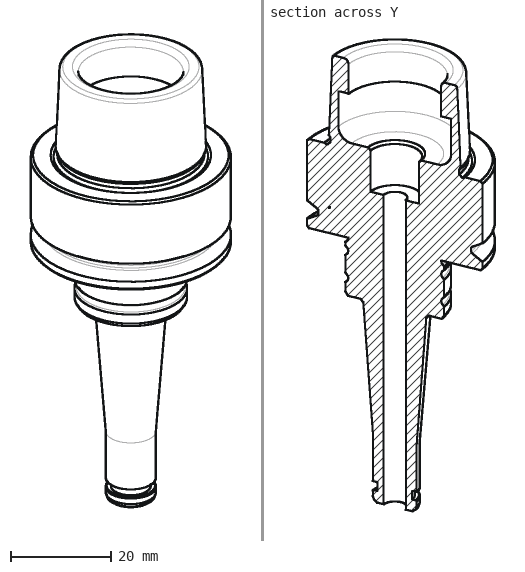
import cadquery as cq


pin_radius = 10.0 / 2
tip_face_radius = 8.0 / 2
tip_chamfer_radius = 4.8
tip_chamfer_top = 0.6
tip_head_start = 1.3
tip_groove_radius = 8.0 / 2
tip_groove_bottom = 2.7
tip_groove_top = 4.6
tip_head_bevel = 0.2
pin_top = 15.1

neck_top_radius = 7.2
neck_top = 44.0
neck_flare = 0.6

collar_radius = 22.5 / 2
collar_bottom = neck_top + neck_flare
collar_chamfer_width = 0.6
collar_chamfer_height = 0.9

total_length = 97.5
flange_radius = 40.0 / 2
flange_height = 20.0
flange_top = total_length - flange_height
flange_bottom = flange_top - flange_height
flange_chamfer = 0.5
grip_radius = 34.8 / 2
grip_center = 61.6
grip_floor_height = 1.2
grip_mouth_height = 4.1
grip_corner_fillet = 0.5

groove_centers = (48.6, 54.6, flange_bottom)
groove_floor_radius = 10.6
groove_shoulder_radius = 10.9
groove_arc_half = 0.7
groove_half = 1.1

relief_outer_radius = 16.0
relief_floor_radius = 15.4
relief_depth = 0.3
relief_slope_height = 0.7

shank_neck_radius = 14.7
shank_bottom_radius = 15.0
shank_bottom = 79.5
shank_undercut_height = 0.6
shank_top_radius = 14.2
shank_rim_fillet = 0.7

bore_radius = 21.0 / 2
bore_rim_fillet = 1.2
bore_depth = 7.8
chamber_radius = 25.5 / 2
chamber_floor_radius = 9.75
chamber_wall_depth = 15.6
chamber_fillet = chamber_radius - chamber_floor_radius
chamber_floor = total_length - chamber_wall_depth - chamber_fillet

socket_radius = 10.9 / 2
socket_mouth_radius = 6.0
socket_depth = 9.75
through_diameter = 5.0


def add_tip(profile):
    """Tip head, retaining groove and straight pin, from the axis upward."""
    return (
        profile.lineTo(tip_face_radius, 0)
        .lineTo(tip_chamfer_radius, tip_chamfer_top)
        .lineTo(pin_radius, tip_head_start)
        .lineTo(pin_radius, tip_groove_bottom - tip_head_bevel)
        .lineTo(pin_radius - tip_head_bevel, tip_groove_bottom)
        .lineTo(tip_groove_radius, tip_groove_bottom)
        .lineTo(tip_groove_radius, tip_groove_top)
        .lineTo(pin_radius, tip_groove_top)
        .lineTo(pin_radius, pin_top)
    )


def add_neck_and_collar(profile):
    """Tapered neck and the collar, up to the flange underside."""
    return (
        profile.lineTo(neck_top_radius, neck_top)
        .lineTo(neck_top_radius + neck_flare, collar_bottom)
        .lineTo(collar_radius - collar_chamfer_width, collar_bottom)
        .lineTo(collar_radius, collar_bottom + collar_chamfer_height)
        .lineTo(collar_radius, flange_bottom)
    )


def add_flange(profile):
    """Flange with its gripper groove, up to the top face."""
    floor_half = grip_floor_height / 2
    mouth_half = grip_mouth_height / 2
    return (
        profile.lineTo(flange_radius - flange_chamfer, flange_bottom)
        .lineTo(flange_radius, flange_bottom + flange_chamfer)
        .lineTo(flange_radius, grip_center - mouth_half)
        .lineTo(grip_radius, grip_center - floor_half)
        .lineTo(grip_radius, grip_center + floor_half)
        .lineTo(flange_radius, grip_center + mouth_half)
        .lineTo(flange_radius, flange_top - flange_chamfer)
        .lineTo(flange_radius - flange_chamfer, flange_top)
    )


def add_shank(profile):
    """Relief in the flange face, undercut neck and tapered shank."""
    relief_floor = flange_top - relief_depth
    return (
        profile.lineTo(relief_outer_radius, flange_top)
        .lineTo(relief_floor_radius, relief_floor)
        .lineTo(shank_neck_radius, relief_floor + relief_slope_height)
        .lineTo(shank_neck_radius, shank_bottom - shank_undercut_height)
        .lineTo(shank_bottom_radius, shank_bottom)
        .lineTo(shank_top_radius, total_length)
        .lineTo(0, total_length)
    )


def make_body():
    """Turned outside shape, with the shank rim and gripper groove floor rounded."""
    profile = cq.Workplane("XZ").moveTo(0, 0)
    for add_section in (add_tip, add_neck_and_collar, add_flange, add_shank):
        profile = add_section(profile)
    body = profile.close().revolve(360, (0, 0, 0), (0, 1, 0))
    body = body.faces(">Z").edges().fillet(shank_rim_fillet)
    grip_floor = cq.selectors.BoxSelector(
        (-flange_radius, -flange_radius, grip_center - grip_floor_height),
        (flange_radius, flange_radius, grip_center + grip_floor_height),
        boundingbox=True,
    )
    return body.edges(grip_floor).edges("%CIRCLE").fillet(grip_corner_fillet)


def make_collar_groove(center):
    """Ring with a rounded inner side and bevelled edges; stops at the flange."""
    top_half = min(groove_half, flange_bottom - center)
    ring = (
        cq.Workplane("XZ")
        .moveTo(collar_radius, center - groove_half)
        .lineTo(groove_shoulder_radius, center - groove_arc_half)
        .threePointArc(
            (groove_floor_radius, center),
            (groove_shoulder_radius, center + groove_arc_half),
        )
        .lineTo(collar_radius, center + groove_half)
        .close()
        .revolve(360, (0, 0, 0), (0, 1, 0))
    )
    keep = cq.Workplane("XY").workplane(offset=center - groove_half)
    return ring.intersect(keep.circle(collar_radius).extrude(groove_half + top_half))


def make_bore():
    """Rounded mouth, straight bore, wider chamber and the narrow socket."""
    bore_end = total_length - bore_depth
    socket_chamfer = socket_mouth_radius - socket_radius
    return (
        cq.Workplane("XZ")
        .moveTo(0, total_length)
        .lineTo(bore_radius + bore_rim_fillet, total_length)
        .radiusArc((bore_radius, total_length - bore_rim_fillet), -bore_rim_fillet)
        .lineTo(bore_radius, bore_end)
        .lineTo(chamber_radius, bore_end)
        .lineTo(chamber_radius, chamber_floor + chamber_fillet)
        .radiusArc((chamber_floor_radius, chamber_floor), chamber_fillet)
        .lineTo(socket_mouth_radius, chamber_floor)
        .lineTo(socket_radius, chamber_floor - socket_chamfer)
        .lineTo(socket_radius, chamber_floor - socket_depth)
        .lineTo(0, chamber_floor - socket_depth)
        .close()
        .revolve(360, (0, 0, 0), (0, 1, 0))
    )


result = make_body()
for groove_center in groove_centers:
    result = result.cut(make_collar_groove(groove_center))
result = result.cut(make_bore())
result = result.cut(cq.Workplane("XY").circle(through_diameter / 2).extrude(total_length))